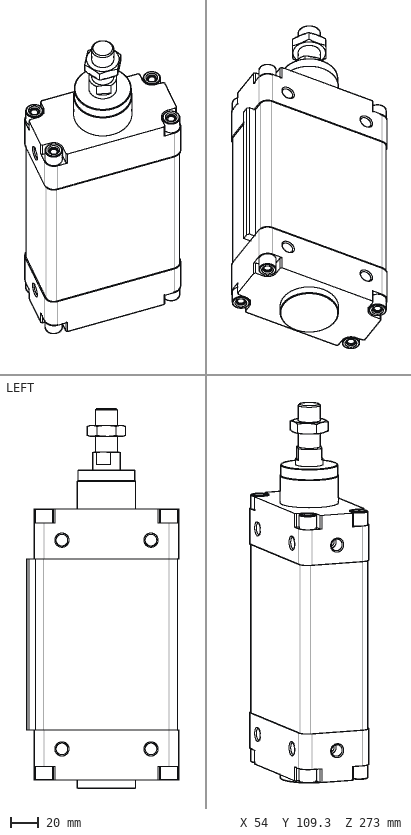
import cadquery as cq
import math


cap_size_x = 54.0
cap_size_y = 104.0
cap_height = 36.0
body_height = 195.0
cap_corner_radius = 7.19
barrel_inset_x = 0.75
barrel_inset_y = 0.9
barrel_corner_radius = 6.0

rail_top_y = 57.3
rail_left_x = -12.8
rail_right_x = -6.7
rail_chamfer = 1.5

screw_from_cap_side = 7.0
screw_x = cap_size_x / 2 - screw_from_cap_side
screw_y = cap_size_y / 2 - screw_from_cap_side
screw_head_diameter = 12.5
screw_face_diameter = 11.4
pocket_radius = 14.1 / 2
pocket_depth = 10.0
pocket_mouth_chamfer = 1.0
socket_mouth_diameter = 8.38
socket_bore_diameter = 6.65
socket_bore_depth = 2.0
socket_diameter = 4.92
socket_depth = 7.0

side_hole_mouth_diameter = 10.2
side_hole_diameter = 8.38
side_hole_from_end = 22.5
port_depth = 12.0
port_floor_diameter = 5.8
mounting_hole_depth = 12.0
mounting_hole_y = 32.0
drill_tip_angle = 118.0

collar_diameter = 42.0
collar_neck_diameter = 41.0
collar_step_height = 20.3
collar_height = 28.0
collar_chamfer = 0.5
bottom_boss_height = 6.0

rod_diameter = 20.0
shoulder_height = 13.0
shoulder_cone_height = 0.6
thread_diameter = 16.0
rod_length = 44.0
rod_end_chamfer = 1.0
wrench_flat_width = 17.0
wrench_flat_start = 4.0
wrench_flat_angle = -15.0

nut_across_flats = 24.0
nut_thickness = 8.0
nut_bottom_above_collar = 24.0
nut_face_diameter = 23.4
nut_chamfer_angle = 20.0

collar_top = body_height + collar_height


def rounded_block(size_x, size_y, radius, bottom, height):
    block = cq.Workplane("XY", origin=(0, 0, bottom)).rect(size_x, size_y).extrude(height)
    return block.edges("|Z").fillet(radius)


def drilled_hole(mouth, inward, mouth_diameter, diameter, depth, tip_diameter=0.0):
    """Cutter for a drilled hole with a 45 degree mouth chamfer and a conical end."""
    start = cq.Vector(*mouth)
    direction = cq.Vector(*inward)
    radius = diameter / 2
    chamfer = (mouth_diameter - diameter) / 2
    tip_radius = tip_diameter / 2
    tip_length = (radius - tip_radius) / math.tan(math.radians(drill_tip_angle / 2))
    shaft = cq.Solid.makeCylinder(radius, depth, start, direction)
    mouth_cone = cq.Solid.makeCone(mouth_diameter / 2, radius, chamfer, start, direction)
    tip = cq.Solid.makeCone(radius, tip_radius, tip_length, start + direction * depth, direction)
    return shaft.fuse(mouth_cone, tip)


def screw_pocket():
    """Corner pocket cutter for the +X +Y corner of the lower cap, open to both outer sides."""
    inner_x = screw_x - pocket_radius
    inner_y = screw_y - pocket_radius
    outer_x = cap_size_x / 2
    outer_y = cap_size_y / 2
    mouth = pocket_mouth_chamfer
    return (
        cq.Workplane("XY")
        .moveTo(inner_x, screw_y)
        .lineTo(inner_x, outer_y - mouth)
        .lineTo(inner_x - mouth, outer_y)
        .lineTo(outer_x, outer_y)
        .lineTo(outer_x, inner_y - mouth)
        .lineTo(outer_x - mouth, inner_y)
        .lineTo(screw_x, inner_y)
        .radiusArc((inner_x, screw_y), pocket_radius)
        .close()
        .extrude(pocket_depth)
    )


def screw_head():
    """Round screw head standing in the +X +Y pocket of the lower cap, socket facing down."""
    edge_chamfer = (screw_head_diameter - screw_face_diameter) / 2
    head_circle = cq.Workplane("XY").center(screw_x, screw_y).circle(screw_head_diameter / 2)
    head = head_circle.extrude(pocket_depth)
    head = head.faces("<Z").chamfer(edge_chamfer)
    socket = drilled_hole(
        (screw_x, screw_y, 0), (0, 0, 1), socket_mouth_diameter, socket_diameter, socket_depth
    )
    bore_circle = cq.Workplane("XY").center(screw_x, screw_y).circle(socket_bore_diameter / 2)
    bore = bore_circle.extrude(socket_bore_depth)
    return head.cut(cq.Workplane(socket)).cut(bore)


def at_all_corners(shape):
    """Copies of a lower +X +Y corner shape at all eight corners of the housing."""
    mirrored_x = shape.mirror("YZ")
    lower = [shape, mirrored_x, shape.mirror("XZ"), mirrored_x.mirror("XZ")]
    upper = [corner.mirror("XY", (0, 0, body_height / 2)) for corner in lower]
    return lower + upper


def rail():
    barrel_face_y = cap_size_y / 2 - barrel_inset_y
    section = (
        cq.Workplane("XY", origin=(0, 0, cap_height))
        .moveTo(rail_left_x, barrel_face_y)
        .lineTo(rail_left_x, rail_top_y - rail_chamfer)
        .lineTo(rail_left_x + rail_chamfer, rail_top_y)
        .lineTo(rail_right_x, rail_top_y)
        .lineTo(rail_right_x, barrel_face_y)
        .close()
    )
    return section.extrude(body_height - 2 * cap_height)


def top_collar():
    base_circle = cq.Workplane("XY", origin=(0, 0, body_height)).circle(collar_diameter / 2)
    base = base_circle.extrude(collar_step_height)
    base = base.faces(">Z").chamfer(collar_chamfer)
    neck = base.faces(">Z").workplane().circle(collar_neck_diameter / 2)
    collar = neck.extrude(collar_height - collar_step_height)
    return collar.faces(">Z").chamfer(collar_chamfer)


def bottom_boss():
    boss = cq.Workplane("XY").circle(collar_diameter / 2).extrude(-bottom_boss_height)
    return boss.faces("<Z").chamfer(collar_chamfer)


def build_housing():
    upper_cap_bottom = body_height - cap_height
    lower_cap = rounded_block(cap_size_x, cap_size_y, cap_corner_radius, 0, cap_height)
    upper_cap = rounded_block(cap_size_x, cap_size_y, cap_corner_radius, upper_cap_bottom, cap_height)
    barrel = rounded_block(
        cap_size_x - 2 * barrel_inset_x,
        cap_size_y - 2 * barrel_inset_y,
        barrel_corner_radius,
        cap_height,
        upper_cap_bottom - cap_height,
    )
    body = barrel.union(lower_cap).union(upper_cap).union(rail())

    for pocket in at_all_corners(screw_pocket()):
        body = body.cut(pocket)
    for head in at_all_corners(screw_head()):
        body = body.union(head)

    for height in (side_hole_from_end, body_height - side_hole_from_end):
        port = drilled_hole(
            (0, -cap_size_y / 2, height), (0, 1, 0),
            side_hole_mouth_diameter, side_hole_diameter, port_depth, port_floor_diameter,
        )
        body = body.cut(cq.Workplane(port))
        for y in (-mounting_hole_y, mounting_hole_y):
            mounting_hole = drilled_hole(
                (-cap_size_x / 2, y, height), (1, 0, 0),
                side_hole_mouth_diameter, side_hole_diameter, mounting_hole_depth,
            )
            body = body.cut(cq.Workplane(mounting_hole))

    return body.union(top_collar()).union(bottom_boss())


def build_rod():
    """Rod standing on the collar face: shoulder with two wrench flats, then the thread."""
    shoulder = cq.Workplane("XY", origin=(0, 0, collar_top)).circle(rod_diameter / 2).extrude(shoulder_height)
    shoulder = shoulder.faces(">Z").chamfer(shoulder_cone_height, (rod_diameter - thread_diameter) / 2)

    flat_height = shoulder_height - wrench_flat_start
    between_flats = (
        cq.Workplane("XY", origin=(0, 0, collar_top + wrench_flat_start))
        .rect(wrench_flat_width, 2 * rod_diameter)
        .extrude(flat_height)
    )
    surround = (
        cq.Workplane("XY", origin=(0, 0, collar_top + wrench_flat_start))
        .rect(2 * rod_diameter, 2 * rod_diameter)
        .extrude(flat_height)
    )
    flat_cutter = surround.cut(between_flats).rotate((0, 0, 0), (0, 0, 1), wrench_flat_angle)
    shoulder = shoulder.cut(flat_cutter)

    thread = cq.Workplane("XY", origin=(0, 0, collar_top)).circle(thread_diameter / 2).extrude(rod_length)
    thread = thread.faces(">Z").chamfer(rod_end_chamfer)
    return shoulder.union(thread)


def build_nut():
    """Hexagon nut with flats facing X and chamfered corners on both faces."""
    bottom = collar_top + nut_bottom_above_collar
    corner_diameter = nut_across_flats / math.cos(math.pi / 6)
    hexagon = (
        cq.Workplane("XY", origin=(0, 0, bottom))
        .transformed(rotate=(0, 0, 90))
        .polygon(6, corner_diameter)
        .extrude(nut_thickness)
    )
    chamfer_width = (corner_diameter - nut_face_diameter) / 2
    chamfer_height = chamfer_width * math.tan(math.radians(nut_chamfer_angle))
    chamfer_envelope = (
        cq.Workplane("XY", origin=(0, 0, bottom))
        .circle(corner_diameter / 2)
        .extrude(nut_thickness)
        .faces("<Z or >Z")
        .chamfer(chamfer_height, chamfer_width)
    )
    bore = cq.Workplane("XY", origin=(0, 0, bottom)).circle(thread_diameter / 2).extrude(nut_thickness)
    return hexagon.intersect(chamfer_envelope).cut(bore)


housing = build_housing()
rod = build_rod()
nut = build_nut()

result = cq.Compound.makeCompound([*housing.solids().vals(), *rod.solids().vals(), *nut.solids().vals()])